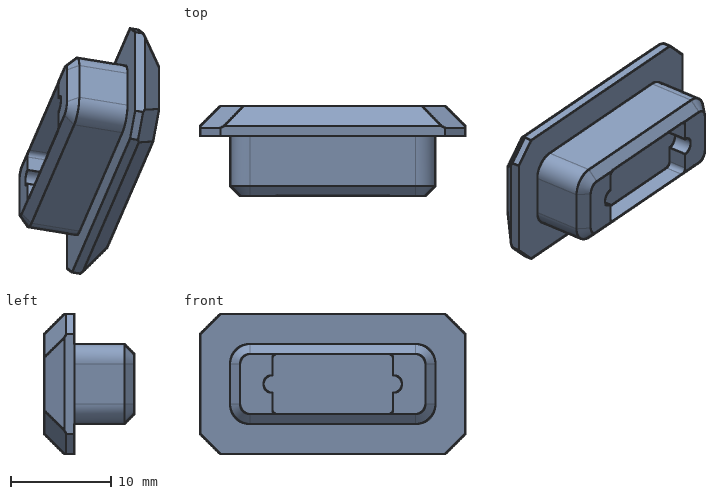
import cadquery as cq

flange_length = 26.5
flange_height = 14.0
flange_thickness = 3.02
corner_cut = 2.01
bevel = 2.01
corner_bevel_depth = 2.2
corner_bevel_inset = 3.07

plug_length = 20.5
plug_height = 8.0
plug_depth = 6.0
plug_corner_radius = 2.0
plug_chamfer = 1.0

pocket_length = 12.08
pocket_height = 6.05
pocket_depth = 2.0
pocket_corner_radius = 0.5
notch_radius = 0.87

total_depth = plug_depth + flange_thickness


def centred_block(length, height, y_start, depth):
    """Box centred on the Y axis, running from y_start toward +Y."""
    block = cq.Workplane("XY").box(length, depth, height)
    return block.translate((0, y_start + depth / 2, 0))


def corner_bevel_cutter(x_side, z_side):
    """Prism that removes a sloping wedge along one cut flange corner.

    It is drawn across the bevel, with local x pointing outward along the
    corner diagonal and local y along +Y.
    """
    outward = cq.Vector(x_side, 0, z_side).normalized()
    across = outward.cross(cq.Vector(0, 1, 0))
    cut_centre_x = x_side * (flange_length - corner_cut) / 2
    cut_centre_z = z_side * (flange_height - corner_cut) / 2
    origin = (cut_centre_x, total_depth, cut_centre_z)
    plane = cq.Plane(origin=origin, xDir=outward.toTuple(), normal=across.toTuple())
    wedge = (
        cq.Workplane(plane)
        .moveTo(-2 * corner_bevel_inset, corner_bevel_depth)
        .lineTo(corner_bevel_inset, -2 * corner_bevel_depth)
        .lineTo(corner_bevel_inset, corner_bevel_depth)
        .close()
    )
    return wedge.extrude(flange_height / 2, both=True)


def make_flange():
    flange = centred_block(flange_length, flange_height, plug_depth, flange_thickness)
    flange = flange.edges("|Y").chamfer(corner_cut)
    rim = centred_block(flange_length, flange_height, plug_depth, flange_thickness)
    flange = flange.intersect(rim.faces(">Y").chamfer(bevel))
    for x_side in (-1, 1):
        for z_side in (-1, 1):
            flange = flange.cut(corner_bevel_cutter(x_side, z_side))
    return flange


def make_plug():
    plug = centred_block(plug_length, plug_height, 0, plug_depth)
    plug = plug.edges("|Y").fillet(plug_corner_radius)
    return plug.faces("<Y").chamfer(plug_chamfer)


def make_pocket():
    pocket = centred_block(pocket_length, pocket_height, 0, pocket_depth)
    pocket = pocket.edges("|Y").fillet(pocket_corner_radius)
    notches = (
        cq.Workplane("XZ")
        .pushPoints([(-pocket_length / 2, 0), (pocket_length / 2, 0)])
        .circle(notch_radius)
        .extrude(-pocket_depth)
    )
    return pocket.union(notches)


result = make_flange().union(make_plug()).cut(make_pocket())